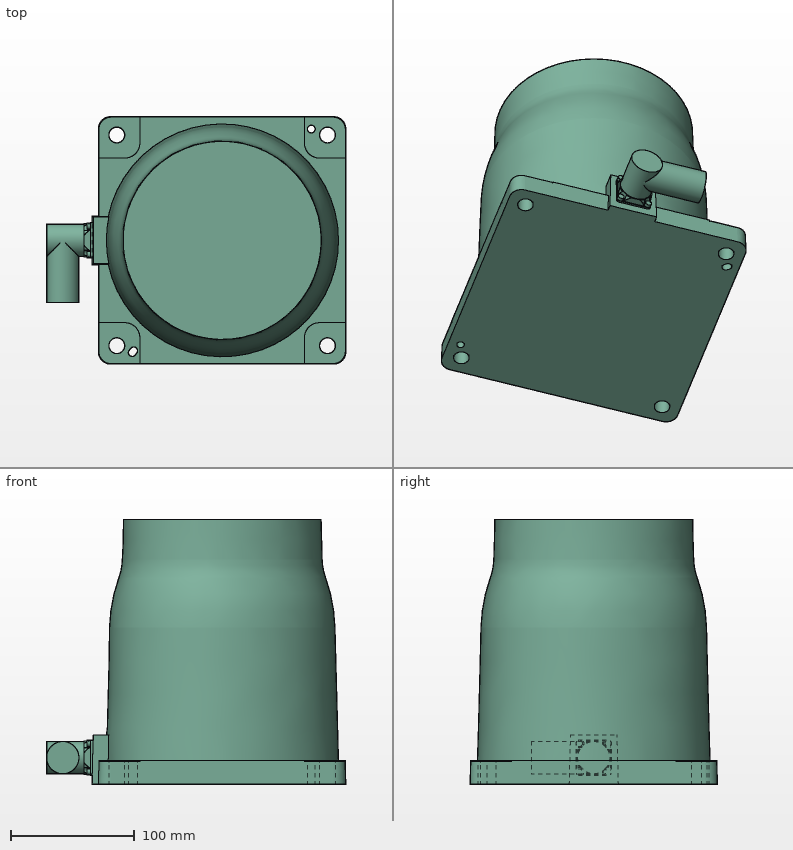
import cadquery as cq
import math

OVERALL_LENGTH = 241.8
PLATE_SIDE = 200.0
TOTAL_HEIGHT = 214.0
DRAFT_ANGLE = 1.5
DRAFT_SLOPE = math.tan(math.radians(DRAFT_ANGLE))

PLATE_HEIGHT = 19.0
PLATE_CORNER_RADIUS = 10.0
SEAT_DEPTH = 0.7
SEAT_INNER_EDGE = 66.5
SEAT_CORNER_RADIUS = 12
MOUNT_HOLE_OFFSET = 85.0
MOUNT_HOLE_DIAMETER = 12.5
PIN_X = 72.0
PIN_Y = 90.0
PIN_HOLE_DIAMETER = 6.0
PIN_SLOT_LENGTH = 8.0

BODY_BASE_RADIUS = 94.0
BODY_TOP_RADIUS = 80.0
SHOULDER_Z = 126.5
NECK_Z = 181.5
BLEND_Z = 167.0

BLOCK_WIDTH = 39.7
BLOCK_HEIGHT = 40.0
BLOCK_FACE_X = -105.2
BLOCK_DEPTH = 29

CONNECTOR_Z = 21.5
TUBE_DIAMETER = 26.0
TUBE_LEFT_X = PLATE_SIDE / 2 - OVERALL_LENGTH
TUBE_LEG_LENGTH = 50.3
FLANGE_FACE_X = -106.5
FLANGE_CORNER_RADIUS = 2.7
SCREW_OFFSET = 11.5
SCREW_HEAD_DIAMETER = 5.0
SCREW_HEAD_HEIGHT = 3.0
HOUSING_SIDE = 27.0
HOUSING_LENGTH = 5.3
HOUSING_END_X = FLANGE_FACE_X - HOUSING_LENGTH
HOUSING_END_RADIUS = 14.0
HOUSING_ROOT_RADIUS = 16.2
SCREW_CLEARANCE_DIAMETER = 7.3
EMBED = 2.5


def base_plate():
    plate = (
        cq.Workplane("XY")
        .sketch()
        .rect(PLATE_SIDE, PLATE_SIDE)
        .vertices()
        .fillet(PLATE_CORNER_RADIUS)
        .finalize()
        .extrude(PLATE_HEIGHT, taper=DRAFT_ANGLE)
    )
    seat_span = PLATE_SIDE
    seat_centre = SEAT_INNER_EDGE + seat_span / 2
    seats = (
        cq.Workplane("XY", origin=(0, 0, PLATE_HEIGHT - SEAT_DEPTH))
        .rect(2 * seat_centre, 2 * seat_centre, forConstruction=True)
        .vertices()
        .rect(seat_span, seat_span)
        .extrude(PLATE_HEIGHT)
        .edges("|Z")
        .fillet(SEAT_CORNER_RADIUS)
    )
    return plate.cut(seats)


def plate_holes():
    mounting = (
        cq.Workplane("XY")
        .rect(2 * MOUNT_HOLE_OFFSET, 2 * MOUNT_HOLE_OFFSET, forConstruction=True)
        .vertices()
        .circle(MOUNT_HOLE_DIAMETER / 2)
        .extrude(PLATE_HEIGHT)
    )
    round_pin = cq.Workplane("XY").center(PIN_X, PIN_Y).circle(PIN_HOLE_DIAMETER / 2).extrude(PLATE_HEIGHT)
    slot_angle = math.degrees(math.atan2(PIN_Y, PIN_X))
    slotted_pin = (
        cq.Workplane("XY")
        .center(-PIN_X, -PIN_Y)
        .slot2D(PIN_SLOT_LENGTH, PIN_HOLE_DIAMETER, slot_angle)
        .extrude(PLATE_HEIGHT)
    )
    return mounting.union(round_pin).union(slotted_pin)


def bell_body():
    shoulder_radius = BODY_BASE_RADIUS - (SHOULDER_Z - PLATE_HEIGHT) * DRAFT_SLOPE
    neck_radius = BODY_TOP_RADIUS + (TOTAL_HEIGHT - NECK_Z) * DRAFT_SLOPE
    blend_fraction = (BLEND_Z - SHOULDER_Z) / (NECK_Z - SHOULDER_Z)
    blend_radius = shoulder_radius + blend_fraction * (neck_radius - shoulder_radius)
    return (
        cq.Workplane("XZ")
        .lineTo(BODY_BASE_RADIUS, 0)
        .lineTo(BODY_BASE_RADIUS, PLATE_HEIGHT)
        .lineTo(shoulder_radius, SHOULDER_Z)
        .tangentArcPoint((blend_radius, BLEND_Z), relative=False)
        .tangentArcPoint((neck_radius, NECK_Z), relative=False)
        .lineTo(BODY_TOP_RADIUS, TOTAL_HEIGHT)
        .lineTo(0, TOTAL_HEIGHT)
        .close()
        .revolve(360, (0, 0, 0), (0, 1, 0))
    )


def connector_block():
    return (
        cq.Workplane("XY")
        .center(BLOCK_FACE_X + BLOCK_DEPTH / 2, 0)
        .rect(BLOCK_DEPTH, BLOCK_WIDTH)
        .extrude(BLOCK_HEIGHT, taper=DRAFT_ANGLE)
    )


def connector_plane(x):
    """Workplane on the connector axis whose extrusions run towards +X."""
    return cq.Workplane("YZ", origin=(x, 0, CONNECTOR_Z))


def at_screws(plane):
    return plane.rect(2 * SCREW_OFFSET, 2 * SCREW_OFFSET, forConstruction=True).vertices()


def connector_flange():
    side = 2 * (SCREW_OFFSET + FLANGE_CORNER_RADIUS)
    thickness = BLOCK_FACE_X - FLANGE_FACE_X + EMBED
    flange = (
        connector_plane(FLANGE_FACE_X)
        .rect(side, side)
        .extrude(thickness)
        .edges("|X")
        .fillet(FLANGE_CORNER_RADIUS)
    )
    screw_heads = (
        at_screws(connector_plane(FLANGE_FACE_X - SCREW_HEAD_HEIGHT))
        .circle(SCREW_HEAD_DIAMETER / 2)
        .extrude(SCREW_HEAD_HEIGHT)
    )
    return flange.union(screw_heads)


def connector_housing():
    """Square housing with conically turned corners and clearance around the screws."""
    end_plane = connector_plane(HOUSING_END_X)
    square = end_plane.rect(HOUSING_SIDE, HOUSING_SIDE).extrude(HOUSING_LENGTH)
    cone = (
        end_plane.circle(HOUSING_END_RADIUS)
        .workplane(offset=HOUSING_LENGTH)
        .circle(HOUSING_ROOT_RADIUS)
        .loft()
    )
    clearance = at_screws(end_plane).circle(SCREW_CLEARANCE_DIAMETER / 2).extrude(HOUSING_LENGTH)
    return square.intersect(cone).cut(clearance)


def elbow():
    tube_radius = TUBE_DIAMETER / 2
    run = connector_plane(TUBE_LEFT_X).circle(tube_radius).extrude(HOUSING_END_X - TUBE_LEFT_X)
    leg = (
        cq.Workplane("XZ", origin=(TUBE_LEFT_X + tube_radius, 0, CONNECTOR_Z))
        .circle(tube_radius)
        .extrude(TUBE_LEG_LENGTH)
    )
    return run.union(leg)


result = base_plate().cut(plate_holes())
for feature in (bell_body(), connector_block(), connector_flange(), connector_housing(), elbow()):
    result = result.union(feature)